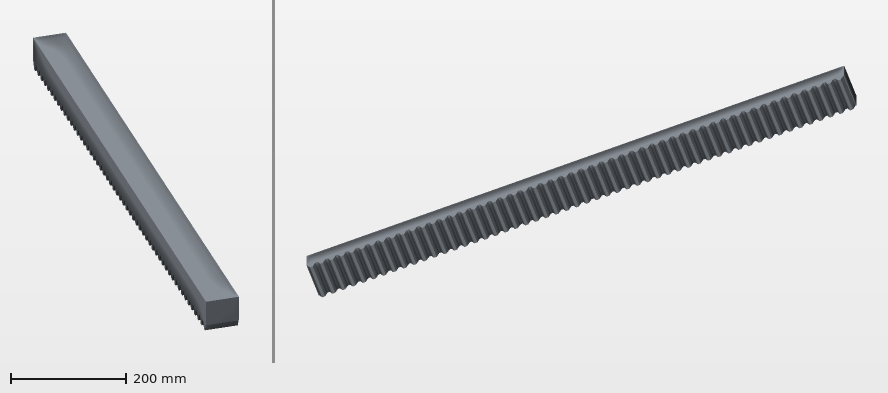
import cadquery as cq
import math

length = 998.0
width = 60.0
height = 60.0

tooth_count = 53
end_trim = 0.5
pitch = (length + 2 * end_trim) / tooth_count
module = pitch / math.pi
addendum = module
dedendum = 1.25 * module
pressure_angle = 20.0

flank_slope = math.tan(math.radians(pressure_angle))
half_tip = pitch / 4 - addendum * flank_slope
half_base = pitch / 4 + dedendum * flank_slope

back_z = height / 2
tip_z = -height / 2
root_z = tip_z + addendum + dedendum
end_x = length / 2


def tooth_outline(center_x):
    """Four corners of one tooth, from left root to right root."""
    return [
        (center_x - half_base, root_z),
        (center_x - half_tip, tip_z),
        (center_x + half_tip, tip_z),
        (center_x + half_base, root_z),
    ]


def rack_profile():
    """Toothed lower edge with part of a gap at each end, closed by the flat back."""
    first_tooth_x = -pitch * (tooth_count - 1) / 2
    points = [(-end_x, root_z)]
    for index in range(tooth_count):
        points += tooth_outline(first_tooth_x + index * pitch)
    points += [(end_x, root_z), (end_x, back_z), (-end_x, back_z)]
    return points


result = cq.Workplane("XZ").polyline(rack_profile()).close().extrude(width / 2, both=True)